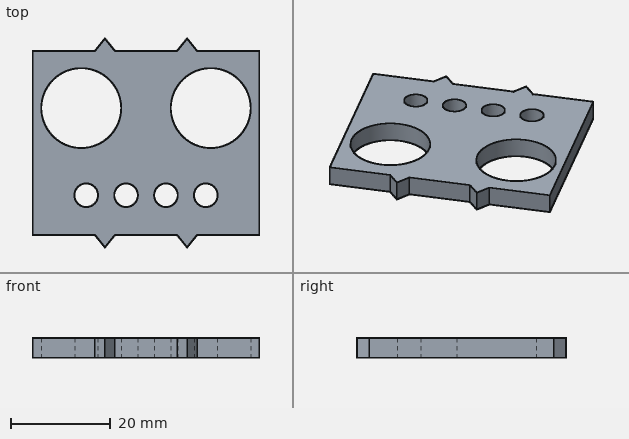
import cadquery as cq

plate_width = 45.5
plate_depth = 37.0
thickness = 4.0

tooth_height = 2.5
tooth_base = 4.0
tooth_spacing = 16.5

sensor_count = 2
sensor_diameter = 16.0
sensor_spacing = 26.0
sensor_y = 7.0

pin_count = 4
pin_diameter = 4.7
pin_pitch = 8.0
pin_y = -10.5


def make_plate():
    return cq.Workplane("XY").box(plate_width, plate_depth, thickness, centered=(True, True, False))


def make_tooth(center_x, side):
    """Triangular tooth on the back (side = 1) or front (side = -1) edge."""
    edge_y = side * plate_depth / 2
    tip_y = edge_y + side * tooth_height
    return (
        cq.Workplane("XY")
        .moveTo(center_x - tooth_base / 2, edge_y)
        .lineTo(center_x, tip_y)
        .lineTo(center_x + tooth_base / 2, edge_y)
        .close()
        .extrude(thickness)
    )


def cut_hole_row(body, count, pitch, y, diameter):
    """Cut through holes in a row along X, centred on the plate."""
    first_x = -(count - 1) * pitch / 2
    centers = [(first_x + i * pitch, y) for i in range(count)]
    holes = cq.Workplane("XY").pushPoints(centers).circle(diameter / 2).extrude(thickness)
    return body.cut(holes)


result = make_plate()
for side in (-1, 1):
    for center_x in (-tooth_spacing / 2, tooth_spacing / 2):
        result = result.union(make_tooth(center_x, side))
result = cut_hole_row(result, sensor_count, sensor_spacing, sensor_y, sensor_diameter)
result = cut_hole_row(result, pin_count, pin_pitch, pin_y, pin_diameter)